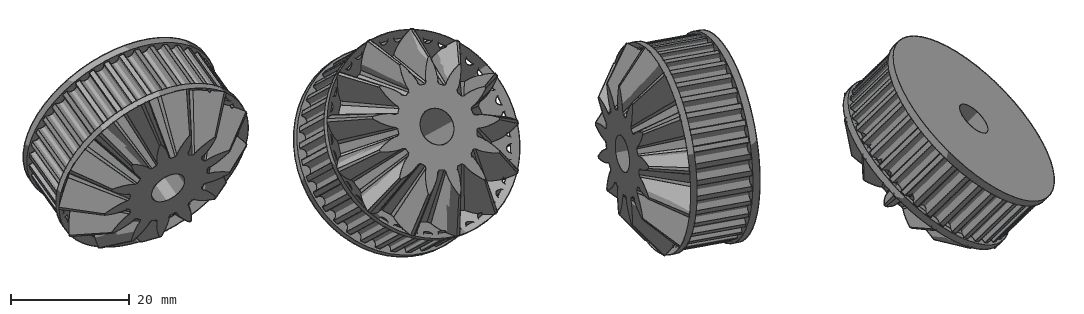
import cadquery as cq
import math


flange_radius = 36.4 / 2
flange_width = 1.3
belt_width = 10.15
pulley_length = belt_width + 2 * flange_width
bore_radius = 6.4 / 2

belt_tooth_count = 38
belt_tip_radius = 17.75
groove_radius = 0.9
groove_depth = 1.2
groove_edge_round = 0.22

total_length = 17.7
gear_tooth_count = 13
gear_tip_radius = 36.62 / 2
cone_angle = math.radians(45)
dedendum_ratio = 1.2
base_depth_ratio = 1.0
root_half_angle = 0.06
base_half_angle = 0.095
tip_half_angle = 0.016
flank_power = 1.5
flank_points = 5
crest_height_ratio = 1.5
cut_overrun = 0.35

module = gear_tip_radius / (gear_tooth_count / 2 + math.cos(cone_angle))
pitch_radius = module * gear_tooth_count / 2
pitch_x = pulley_length - module * math.sin(cone_angle)
apex_x = pitch_x + pitch_radius / math.tan(cone_angle)
half_pitch_angle = math.pi / gear_tooth_count
dedendum = dedendum_ratio * module


def back_cone_point(height):
    """(x, radius) on the back cone, at a height above the pitch cone."""
    return pitch_x + height * math.sin(cone_angle), pitch_radius + height * math.cos(cone_angle)


def face_radius(height, x):
    """Radius at x on the cone that runs from the apex through a back cone point."""
    back_x, back_radius = back_cone_point(height)
    return back_radius * (apex_x - x) / (apex_x - back_x)


def disc(radius, start_x, length):
    return cq.Workplane("YZ").workplane(offset=start_x).circle(radius).extrude(length)


def polar(radius, angle):
    """Point in the YZ plane; angle zero is -Y."""
    return -radius * math.cos(angle), radius * math.sin(angle)


def make_belt_groove():
    """Round-bottomed groove along -Y with rounded edges at its mouth."""
    centre = belt_tip_radius - groove_depth + groove_radius
    shoulder = belt_tip_radius - groove_edge_round
    mouth = groove_radius + groove_edge_round
    bend = groove_edge_round * (1 - math.sqrt(0.5))
    outside = flange_radius
    return (
        cq.Workplane("YZ")
        .workplane(offset=flange_width)
        .moveTo(-outside, -mouth)
        .lineTo(-belt_tip_radius, -mouth)
        .threePointArc((-belt_tip_radius + bend, -groove_radius - bend), (-shoulder, -groove_radius))
        .lineTo(-centre, -groove_radius)
        .threePointArc((-centre + groove_radius, 0), (-centre, groove_radius))
        .lineTo(-shoulder, groove_radius)
        .threePointArc((-belt_tip_radius + bend, groove_radius + bend), (-belt_tip_radius, mouth))
        .lineTo(-outside, mouth)
        .close()
        .extrude(belt_width)
    )


def make_belt_grooves():
    groove = make_belt_groove().val()
    step = 360 / belt_tooth_count
    grooves = [groove.rotate((0, 0, 0), (1, 0, 0), i * step) for i in range(belt_tooth_count)]
    return cq.Workplane(cq.Compound.makeCompound(grooves))


def make_pulley_blank():
    """Plain drum between its two flanges."""
    drum = disc(belt_tip_radius, 0, pulley_length)
    near_flange = disc(flange_radius, 0, flange_width)
    far_flange = disc(flange_radius, pulley_length - flange_width, flange_width)
    return drum.union(near_flange).union(far_flange)


def make_gear_blank():
    """Turned gear body: flat hub face, back cone, tip cone and a flat end."""
    root_x, root_radius = back_cone_point(-dedendum)
    tip_x, tip_radius = back_cone_point(module)
    profile = [
        (root_x, 0),
        (root_x, root_radius),
        (tip_x, tip_radius),
        (total_length, face_radius(module, total_length)),
        (total_length, 0),
    ]
    return cq.Workplane("XY").polyline(profile).close().revolve(360, (0, 0, 0), (1, 0, 0))


def tooth_space_wire(x):
    """Outline of one tooth space, centred on -Y, in the plane at x."""
    base_height = -base_depth_ratio * module
    tip_space = half_pitch_angle - tip_half_angle
    flank = []
    for i in range(flank_points):
        rise = i / (flank_points - 1)
        height = base_height + rise * (module - base_height)
        angle = base_half_angle + (tip_space - base_half_angle) * rise**flank_power
        flank.append((face_radius(height, x), angle))
    root = face_radius(-dedendum, x)
    crest = face_radius(crest_height_ratio * module, x)
    upper = [polar(radius, angle) for radius, angle in flank]
    lower = [polar(radius, -angle) for radius, angle in flank]
    return (
        cq.Workplane("YZ")
        .workplane(offset=x)
        .moveTo(*polar(root, -root_half_angle))
        .threePointArc(polar(root, 0), polar(root, root_half_angle))
        .lineTo(*upper[0])
        .spline(upper[1:], includeCurrent=True)
        .lineTo(*polar(crest, tip_space))
        .lineTo(*polar(crest, -tip_space))
        .lineTo(*lower[-1])
        .spline(lower[-2::-1], includeCurrent=True)
        .close()
        .val()
    )


def make_tooth_spaces(blank):
    """All tooth spaces, ended by the back cone of the blank; a tooth stands on -Y."""
    start_x = back_cone_point(-dedendum)[0] - cut_overrun
    end_x = total_length + cut_overrun
    wires = [tooth_space_wire(start_x), tooth_space_wire(end_x)]
    space = cq.Workplane(cq.Solid.makeLoft(wires, True)).intersect(blank).val()
    step = 360 / gear_tooth_count
    spaces = [space.rotate((0, 0, 0), (1, 0, 0), (i + 0.5) * step) for i in range(gear_tooth_count)]
    return cq.Workplane(cq.Compound.makeCompound(spaces))


gear_blank = make_gear_blank()
bore = disc(bore_radius, 0, total_length)
body = make_pulley_blank().union(gear_blank)
result = body.cut(make_belt_grooves()).cut(make_tooth_spaces(gear_blank)).cut(bore)